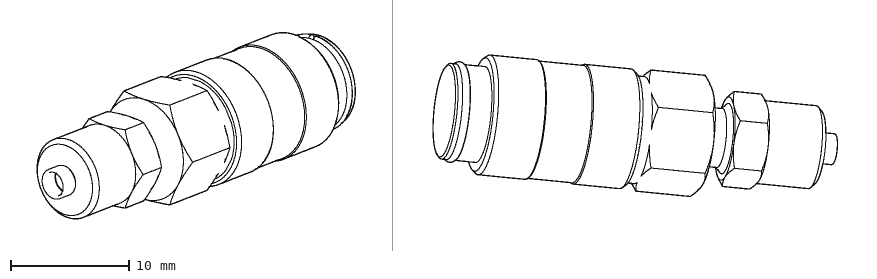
import cadquery as cq
import math

LENGTH = 34.0

SPIGOT_RADIUS = 4.08
SPIGOT_CHAMFER = 0.17

RING_STATION = 0.92
RING_OUTER_RADIUS = 4.3
WIRE_RADIUS = 0.35
RING_CENTER_RADIUS = RING_OUTER_RADIUS - WIRE_RADIUS
RING_GAP = 0.5
GROOVE_WIDTH = 2 * WIRE_RADIUS
GROOVE_RADIUS = RING_CENTER_RADIUS - WIRE_RADIUS

SLEEVE_START = 3.13
SLEEVE_END = 16.1
SLEEVE_RADIUS = 5.1
SLEEVE_CHAMFER_LENGTH = 0.35
SLEEVE_CHAMFER_DEPTH = 0.27
BAND_START = 7.55
BAND_END = 11.73
BAND_RADIUS = 5.0
BAND_STEP_LENGTH = 0.1

LARGE_HEX_START = 17.0
LARGE_HEX_END = 22.5
LARGE_HEX_FLATS = 9.0
COLLAR_RADIUS = 4.55

NECK_RADIUS = 2.5
NECK_FILLET = 0.45
NECK_CONE_START = 24.0

SMALL_HEX_START = 24.48
SMALL_HEX_END = 27.47
SMALL_HEX_FLATS = 7.07
BODY_RADIUS = SMALL_HEX_FLATS / 2
BODY_END = 32.5
BODY_CHAMFER = 0.4

TUBE_RADIUS = 1.33
TUBE_WALL = 0.27
TUBE_LIP_ROUND = TUBE_WALL / 2
TUBE_ROOT_ROUND = 0.2

HEX_CHAMFER_SLOPE = math.tan(math.radians(30))


def y_at(station):
    return LENGTH / 2 - station


def cylinder(start, end, radius):
    """Cylinder on the Y axis between two stations; its front end is the -Y face."""
    return (
        cq.Workplane("XZ", origin=(0, y_at(start), 0))
        .circle(radius)
        .extrude(end - start)
    )


def revolve_profile(points):
    """Revolve an outline of (radius, station) points about the Y axis."""
    outline = [(radius, y_at(station)) for radius, station in points]
    return cq.Workplane("XY").polyline(outline).close().revolve(360, (0, 0, 0), (0, 1, 0))


def hexagon(start, end, flats):
    """Hexagonal prism with two corners on the X axis."""
    return (
        cq.Workplane("XZ", origin=(0, y_at(start), 0))
        .polygon(6, flats / math.cos(math.radians(30)))
        .extrude(end - start)
    )


def chamfered_hexagon(start, end, flats, start_radius):
    """Hexagonal nut with corners turned off by 30 degree cones.

    The rear cone starts at start_radius; the front cone ends tangent to the flats.
    """
    face_radius = flats / 2
    corner_radius = face_radius / math.cos(math.radians(30))
    start_drop = (corner_radius - start_radius) * HEX_CHAMFER_SLOPE
    end_drop = (corner_radius - face_radius) * HEX_CHAMFER_SLOPE
    turned_blank = revolve_profile([
        (0, start),
        (start_radius, start),
        (corner_radius, start + start_drop),
        (corner_radius, end - end_drop),
        (face_radius, end),
        (0, end),
    ])
    return hexagon(start, end, flats).intersect(turned_blank)


def make_spigot():
    spigot = cylinder(0, SLEEVE_START, SPIGOT_RADIUS).faces(">Y").chamfer(SPIGOT_CHAMFER)
    groove_start = RING_STATION - GROOVE_WIDTH / 2
    groove_end = RING_STATION + GROOVE_WIDTH / 2
    groove = cylinder(groove_start, groove_end, SLEEVE_RADIUS).cut(
        cylinder(groove_start, groove_end, GROOVE_RADIUS)
    )
    return spigot.cut(groove)


def make_sleeve():
    end_radius = SLEEVE_RADIUS - SLEEVE_CHAMFER_DEPTH
    return revolve_profile([
        (0, SLEEVE_START),
        (end_radius, SLEEVE_START),
        (SLEEVE_RADIUS, SLEEVE_START + SLEEVE_CHAMFER_LENGTH),
        (SLEEVE_RADIUS, BAND_START),
        (BAND_RADIUS, BAND_START + BAND_STEP_LENGTH),
        (BAND_RADIUS, BAND_END - BAND_STEP_LENGTH),
        (SLEEVE_RADIUS, BAND_END),
        (SLEEVE_RADIUS, SLEEVE_END - SLEEVE_CHAMFER_LENGTH),
        (end_radius, SLEEVE_END),
        (0, SLEEVE_END),
    ])


def make_large_hexagon():
    collar = hexagon(SLEEVE_END, LARGE_HEX_START, LARGE_HEX_FLATS).intersect(
        cylinder(SLEEVE_END, LARGE_HEX_START, COLLAR_RADIUS)
    )
    nut = chamfered_hexagon(LARGE_HEX_START, LARGE_HEX_END, LARGE_HEX_FLATS, COLLAR_RADIUS)
    return collar.union(nut).clean()


def make_neck():
    """Neck with a concave fillet at the large hexagon and a 45 degree cone at the small one."""
    cone_radius = NECK_RADIUS + SMALL_HEX_START - NECK_CONE_START
    fillet_sag = NECK_FILLET * (1 - math.sqrt(0.5))
    return (
        cq.Workplane("XY")
        .moveTo(0, y_at(LARGE_HEX_END))
        .lineTo(NECK_RADIUS + NECK_FILLET, y_at(LARGE_HEX_END))
        .threePointArc(
            (NECK_RADIUS + fillet_sag, y_at(LARGE_HEX_END + fillet_sag)),
            (NECK_RADIUS, y_at(LARGE_HEX_END + NECK_FILLET)),
        )
        .lineTo(NECK_RADIUS, y_at(NECK_CONE_START))
        .lineTo(cone_radius, y_at(SMALL_HEX_START))
        .lineTo(0, y_at(SMALL_HEX_START))
        .close()
        .revolve(360, (0, 0, 0), (0, 1, 0))
    )


def make_front_body():
    nut = chamfered_hexagon(SMALL_HEX_START, SMALL_HEX_END, SMALL_HEX_FLATS, BODY_RADIUS)
    body = cylinder(SMALL_HEX_END, BODY_END, BODY_RADIUS).faces("<Y").chamfer(BODY_CHAMFER)
    return nut.union(body)


def make_tube():
    """Tip tube, open to the front, with a fully rounded lip and a rounded outer root edge."""
    inner_radius = TUBE_RADIUS - TUBE_WALL
    root_inset = TUBE_ROOT_ROUND * (1 - math.sqrt(0.5))
    return (
        cq.Workplane("XY")
        .moveTo(inner_radius, y_at(BODY_END))
        .lineTo(TUBE_RADIUS - TUBE_ROOT_ROUND, y_at(BODY_END))
        .threePointArc(
            (TUBE_RADIUS - root_inset, y_at(BODY_END + root_inset)),
            (TUBE_RADIUS, y_at(BODY_END + TUBE_ROOT_ROUND)),
        )
        .lineTo(TUBE_RADIUS, y_at(LENGTH - TUBE_LIP_ROUND))
        .threePointArc(
            (TUBE_RADIUS - TUBE_LIP_ROUND, y_at(LENGTH)),
            (inner_radius, y_at(LENGTH - TUBE_LIP_ROUND)),
        )
        .close()
        .revolve(360, (0, 0, 0), (0, 1, 0))
    )


def make_connector():
    return (
        make_spigot()
        .union(make_sleeve())
        .union(make_large_hexagon())
        .union(make_neck())
        .union(make_front_body())
        .union(make_tube())
    )


def make_snap_ring():
    """Round wire ring, open at the top (+Z)."""
    ring = (
        cq.Workplane("XY")
        .center(RING_CENTER_RADIUS, y_at(RING_STATION))
        .circle(WIRE_RADIUS)
        .revolve(360, (-RING_CENTER_RADIUS, 0, 0), (-RING_CENTER_RADIUS, 1, 0))
    )
    gap = cq.Workplane("XY", origin=(0, y_at(RING_STATION), 0)).box(
        RING_GAP, GROOVE_WIDTH * 2, RING_OUTER_RADIUS * 2, centered=(True, True, False)
    )
    return ring.cut(gap)


connector = make_connector()
snap_ring = make_snap_ring()

result = cq.Compound.makeCompound([connector.val(), snap_ring.val()])